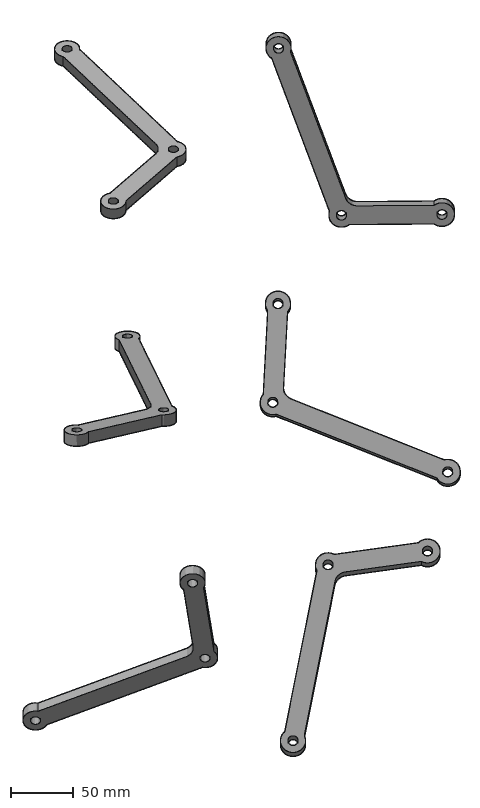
import cadquery as cq
import math

thickness = 10.0
boss_radius = 10.0
hole_diameter = 8.0
arm_width = 16.0
inner_fillet_radius = 10.0

elbow = (0, 0)
long_arm_end = (-116.7, 94.5)
short_arm_end = (-27.3, -75.1)
pivots = [elbow, long_arm_end, short_arm_end]


def arm(end):
    """Straight bar from the elbow to an end pivot."""
    length = math.hypot(*end)
    angle = math.degrees(math.atan2(end[1], end[0]))
    return (
        cq.Workplane("XY")
        .center(length / 2, 0)
        .rect(length, arm_width)
        .extrude(thickness)
        .rotate((0, 0, 0), (0, 0, 1), angle)
    )


long_angle = math.atan2(long_arm_end[1], long_arm_end[0])
short_angle = math.atan2(short_arm_end[1], short_arm_end[0]) + 2 * math.pi
bisector = (long_angle + short_angle) / 2
half_opening = (short_angle - long_angle) / 2
corner_distance = arm_width / 2 / math.sin(half_opening)
inner_corner = (
    corner_distance * math.cos(bisector),
    corner_distance * math.sin(bisector),
    thickness / 2,
)
arms = arm(long_arm_end).union(arm(short_arm_end))
arms = arms.edges(cq.selectors.NearestToPointSelector(inner_corner)).fillet(inner_fillet_radius)

bosses = cq.Workplane("XY").pushPoints(pivots).circle(boss_radius).extrude(thickness)
holes = cq.Workplane("XY").pushPoints(pivots).circle(hole_diameter / 2).extrude(thickness)

result = arms.union(bosses).cut(holes)